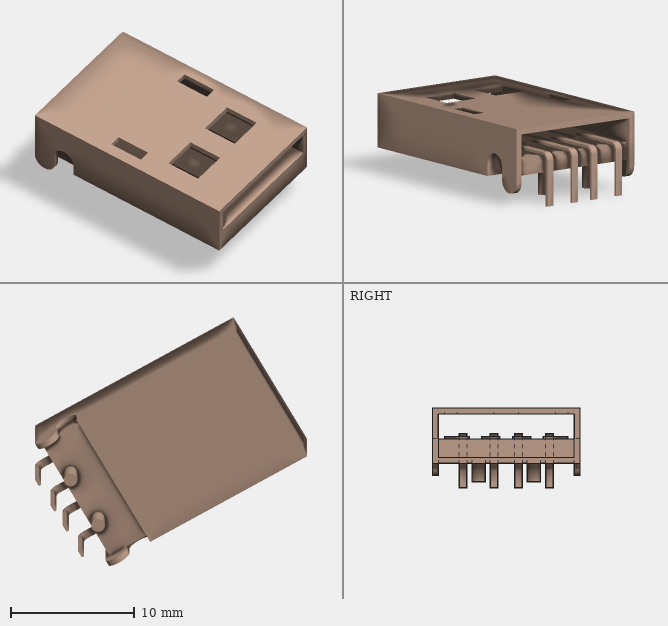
import cadquery as cq


OVERALL_LENGTH = 19.85

SHELL_LENGTH = 18.62
SHELL_WIDTH = 12.0
SHELL_HEIGHT = 4.5
SHEET = 0.5
CAVITY_WIDTH = SHELL_WIDTH - 2 * SHEET

LEG_WIDTH = 1.97
LEG_RADIUS = LEG_WIDTH / 2
NOTCH_WIDTH = 1.95
NOTCH_RADIUS = NOTCH_WIDTH / 2
NOTCH_TOP = 2.0
NOTCH_END = LEG_WIDTH + NOTCH_WIDTH

WINDOW_LENGTH = 3.0
WINDOW_WIDTH = WINDOW_LENGTH
WINDOW_START = 12.0
WINDOW_OFFSET = 2.5
SLOT_WIDTH = 1.0
SLOT_START = 6.97
SLOT_OFFSET = 4.5

SLAB_START = 0.38
SLAB_BOTTOM = SHEET
SLAB_TOP = 1.98
PEG_DIAMETER = 1.1
PEG_X = 1.2
PEG_OFFSET = 2.25
PEG_TIP = -1.5

CONTACT_THICKNESS = 0.22
TAIL_WIDTH = 0.62
TAIL_REACH = OVERALL_LENGTH - SHELL_LENGTH
TAIL_TIP = -1.98
BEND_RADIUS = 0.62
PAD_START = 4.0
PAD_TOP = SLAB_TOP + CONTACT_THICKNESS
TAIL_TOP = PAD_TOP + CONTACT_THICKNESS

INNER_CONTACT = (1.0, 0.5, 2.0, 16.0)
OUTER_CONTACT = (3.51, 3.0, 5.0, 17.0)


def centred_block(x_range, y_centre, width, z_range):
    """Box between limits on X and Z, with its width centred on y_centre."""
    x_start, x_end = x_range
    z_bottom, z_top = z_range
    return (
        cq.Workplane("XY", origin=(x_start, y_centre, z_bottom))
        .box(x_end - x_start, width, z_top - z_bottom, centered=(False, True, False))
    )


def side_profile():
    """Outline of the shell side, with the round leg and the round notch."""
    notch_centre_z = NOTCH_TOP - NOTCH_RADIUS
    return (
        cq.Workplane("XZ")
        .moveTo(0, SHELL_HEIGHT)
        .lineTo(0, 0)
        .threePointArc((LEG_RADIUS, -LEG_RADIUS), (LEG_WIDTH, 0))
        .lineTo(LEG_WIDTH, notch_centre_z)
        .threePointArc((LEG_WIDTH + NOTCH_RADIUS, NOTCH_TOP), (NOTCH_END, notch_centre_z))
        .lineTo(NOTCH_END, 0)
        .lineTo(SHELL_LENGTH, 0)
        .lineTo(SHELL_LENGTH, SHELL_HEIGHT)
        .close()
    )


def make_shell():
    """Shell tube with no floor at the rear and four openings in its top."""
    body = side_profile().extrude(SHELL_WIDTH / 2, both=True)
    cavity = centred_block((0, SHELL_LENGTH), 0, CAVITY_WIDTH, (SHEET, SHELL_HEIGHT - SHEET))
    rear_floor_opening = centred_block((0, NOTCH_END), 0, CAVITY_WIDTH, (-LEG_RADIUS, SHEET))
    body = body.cut(cavity).cut(rear_floor_opening)

    top_sheet = (SHELL_HEIGHT - SHEET, SHELL_HEIGHT)
    for side in (-1, 1):
        window_x = (WINDOW_START, WINDOW_START + WINDOW_LENGTH)
        slot_x = (SLOT_START, SLOT_START + WINDOW_LENGTH)
        body = body.cut(centred_block(window_x, side * WINDOW_OFFSET, WINDOW_WIDTH, top_sheet))
        body = body.cut(centred_block(slot_x, side * SLOT_OFFSET, SLOT_WIDTH, top_sheet))
    return body


def make_insulator():
    """Slab filling the shell width, with two pegs below its rear end."""
    slab = centred_block((SLAB_START, SHELL_LENGTH), 0, CAVITY_WIDTH, (SLAB_BOTTOM, SLAB_TOP))
    pegs = (
        cq.Workplane("XY", origin=(0, 0, PEG_TIP))
        .pushPoints([(PEG_X, -PEG_OFFSET), (PEG_X, PEG_OFFSET)])
        .circle(PEG_DIAMETER / 2)
        .extrude(SLAB_BOTTOM - PEG_TIP)
    )
    return slab.union(pegs)


def tail_profile():
    """Side outline of the bent tail: concentric bends outside, a quarter round down to the pad inside."""
    outer_x = -TAIL_REACH
    inner_x = outer_x + CONTACT_THICKNESS
    bend_x = outer_x + BEND_RADIUS
    bend_z = TAIL_TOP - BEND_RADIUS
    inner_radius = BEND_RADIUS - CONTACT_THICKNESS
    return (
        cq.Workplane("XZ")
        .moveTo(outer_x, TAIL_TIP)
        .lineTo(outer_x, bend_z)
        .radiusArc((bend_x, TAIL_TOP), BEND_RADIUS)
        .lineTo(PAD_START, TAIL_TOP)
        .radiusArc((PAD_START + CONTACT_THICKNESS, PAD_TOP), CONTACT_THICKNESS)
        .lineTo(bend_x, PAD_TOP)
        .radiusArc((inner_x, bend_z), -inner_radius)
        .lineTo(inner_x, TAIL_TIP)
        .close()
    )


def make_contact(side, tail_centre, pad_inner, pad_outer, pad_end):
    """Contact on the given side (-1 or 1) of the centre plane."""
    tail = tail_profile().extrude(TAIL_WIDTH / 2, both=True).translate((0, side * tail_centre, 0))
    pad_centre = side * (pad_inner + pad_outer) / 2
    pad = centred_block((PAD_START, pad_end), pad_centre, pad_outer - pad_inner, (SLAB_TOP, PAD_TOP))
    return tail.union(pad)


shell = make_shell()
insulator = make_insulator()
contacts = [
    make_contact(side, *layout)
    for side in (-1, 1)
    for layout in (INNER_CONTACT, OUTER_CONTACT)
]

result = cq.Compound.makeCompound(
    [shell.val(), insulator.val(), *[contact.val() for contact in contacts]]
)